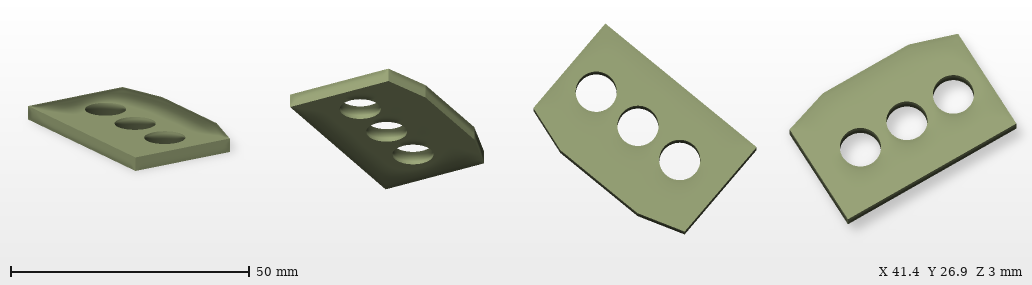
import cadquery as cq

length = 41.4
width = 26.9
thickness = 3.0

slope_length = 10.15
slope_depth = 3.3

hole_diameter = 8.65
hole_count = 3
hole_pitch = 11.43
row_center_x = 22.05
row_center_y = 12.45


def make_plate():
    """Rectangular plate with both +Y corners cut at a slope."""
    shoulder_y = width - slope_depth
    outline = [
        (0, 0),
        (length, 0),
        (length, shoulder_y),
        (length - slope_length, width),
        (slope_length, width),
        (0, shoulder_y),
    ]
    return cq.Workplane("XY").polyline(outline).close().extrude(thickness)


def make_holes():
    """Cylinders that cut the row of holes through the plate."""
    return (
        cq.Workplane("XY")
        .center(row_center_x, row_center_y)
        .rarray(hole_pitch, 0.4, hole_count, 1)
        .circle(hole_diameter / 2)
        .extrude(thickness)
    )


result = make_plate().cut(make_holes())